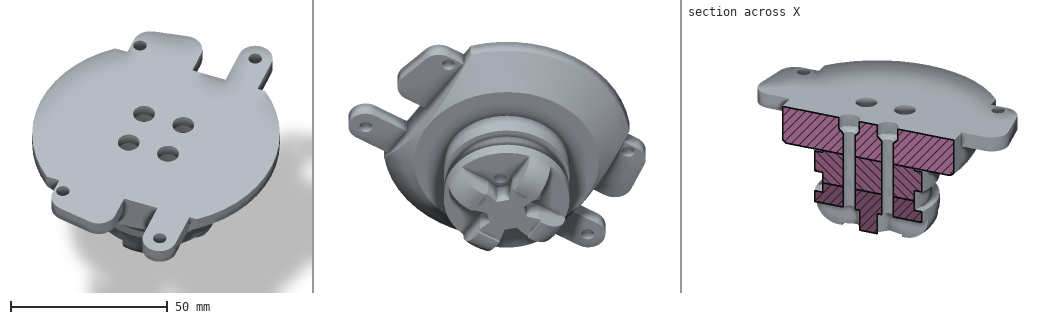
import cadquery as cq
import math


plate_diameter = 79.0
rim_height = 4.4
plate_height = 13.0
plate_base_diameter = 59.0
flat_spacing = 60.05

ear_thickness = 5.0
ear_hole_diameter = 4.3
lug_x = 17.6
lug_width = 11.0
lug_tip_y = 47.7
lug_hole_y = 42.0
paddle_left = -21.4
paddle_right = 0.8
paddle_left_y = 40.5
paddle_right_y = 44.6
paddle_corner_radius = 5.7
paddle_hole_x = -18.7
paddle_hole_y = 34.0

screw_spacing = 13.4
screw_hole_diameter = 4.0
screw_head_diameter = 7.0
screw_head_depth = 4.0
countersink_height = (screw_head_diameter - screw_hole_diameter) / 2

stack_diameter = 40.0
neck_diameter = 35.0
collar_rim_top = -13.5
collar_rim_bottom = -20.8
stack_split = -24.5
flange_top = -27.6
flange_bottom = -31.6

foot_bottom = -39.6
web_bottom = -38.7
leg_width = 7.8
leg_inner_radius = 10.5
arm_root_radius = 9.6
hub_corner_far = 5.6
arm_taper_angle = 15.0


def cylinder(diameter, top, bottom):
    """Round solid on the Z axis between two heights."""
    return cq.Workplane("XY").workplane(offset=bottom).circle(diameter / 2).extrude(top - bottom)


def screw_holes(top, bottom):
    """Four plain screw shanks between two heights."""
    return (
        cq.Workplane("XY")
        .workplane(offset=bottom)
        .rect(screw_spacing, screw_spacing, forConstruction=True)
        .vertices()
        .circle(screw_hole_diameter / 2)
        .extrude(top - bottom)
    )


def screw_heads():
    """Four head recesses, each a round bore ending in a cone down to the shank."""
    head_radius = screw_head_diameter / 2
    shank_radius = screw_hole_diameter / 2
    cone_bottom = -screw_head_depth - countersink_height
    profile = [
        (0, 0),
        (head_radius, 0),
        (head_radius, -screw_head_depth),
        (shank_radius, cone_bottom),
        (0, cone_bottom),
    ]
    head = cq.Workplane("XZ").polyline(profile).close().revolve(360, (0, 0, 0), (0, 1, 0))
    corners = cq.Workplane("XY").rect(screw_spacing, screw_spacing, forConstruction=True).vertices()
    return corners.eachpoint(lambda place: head.val().located(place), combine=True)


def make_lug():
    """Straight ear with a round tip and a hole, on the +Y side."""
    tip_radius = lug_width / 2
    straight_length = lug_tip_y - tip_radius
    bar = cq.Workplane("XY").center(lug_x, straight_length / 2).rect(lug_width, straight_length)
    tip = cq.Workplane("XY").center(lug_x, straight_length).circle(tip_radius)
    hole = cq.Workplane("XY").center(lug_x, lug_hole_y).circle(ear_hole_diameter / 2)
    lug = bar.extrude(-ear_thickness).union(tip.extrude(-ear_thickness))
    return lug.cut(hole.extrude(-ear_thickness))


def make_paddle():
    """Wide ear with a sloping end, rounded corners and a hole, on the +Y side."""
    outline = [
        (paddle_left, 0),
        (paddle_right, 0),
        (paddle_right, paddle_right_y),
        (paddle_left, paddle_left_y),
    ]
    paddle = cq.Workplane("XY").polyline(outline).close().extrude(-ear_thickness)
    paddle = paddle.faces(">Y").edges("|Z").fillet(paddle_corner_radius)
    hole = cq.Workplane("XY").center(paddle_hole_x, paddle_hole_y).circle(ear_hole_diameter / 2)
    return paddle.cut(hole.extrude(-ear_thickness))


def make_plate():
    """Disc with flats, four ears and the countersunk screw holes."""
    profile = [
        (0, 0),
        (plate_diameter / 2, 0),
        (plate_diameter / 2, -rim_height),
        (plate_base_diameter / 2, -plate_height),
        (0, -plate_height),
    ]
    disc = cq.Workplane("XZ").polyline(profile).close().revolve(360, (0, 0, 0), (0, 1, 0))
    flats = cq.Workplane("XY").rect(plate_diameter, flat_spacing).extrude(-plate_height)
    plate = disc.intersect(flats)
    for ear in (make_lug(), make_paddle()):
        plate = plate.union(ear).union(ear.mirror("XZ"))
    return plate.cut(screw_holes(0, -plate_height)).cut(screw_heads())


def make_collar():
    """Upper part of the stack: a rim between two necks."""
    neck = cylinder(neck_diameter, -plate_height, stack_split)
    rim = cylinder(stack_diameter, collar_rim_top, collar_rim_bottom)
    return neck.union(rim).cut(screw_holes(-plate_height, stack_split))


def web_outline():
    """Cross outline: arms that narrow toward an eight-cornered hub."""
    half_leg = leg_width / 2
    taper = (arm_root_radius - hub_corner_far) * math.tan(math.radians(arm_taper_angle))
    hub_corner_near = half_leg - taper
    stack_radius = stack_diameter / 2
    arm = [
        (hub_corner_far, -hub_corner_near),
        (arm_root_radius, -half_leg),
        (stack_radius, -half_leg),
        (stack_radius, half_leg),
        (arm_root_radius, half_leg),
        (hub_corner_far, hub_corner_near),
    ]
    points = []
    for quarter in range(4):
        for x, y in arm:
            for turn in range(quarter):
                x, y = -y, x
            points.append((x, y))
    return points


def rounded_envelope():
    """Round solid below the flange whose side curves in a quarter circle to the bottom."""
    outer_radius = stack_diameter / 2
    leg_height = flange_bottom - foot_bottom
    arc_center_radius = outer_radius - leg_height
    arc_middle = leg_height * math.sqrt(0.5)
    return (
        cq.Workplane("XZ")
        .moveTo(0, flange_bottom)
        .lineTo(outer_radius, flange_bottom)
        .threePointArc(
            (arc_center_radius + arc_middle, flange_bottom - arc_middle),
            (arc_center_radius, foot_bottom),
        )
        .lineTo(0, foot_bottom)
        .close()
        .revolve(360, (0, 0, 0), (0, 1, 0))
    )


def make_foot():
    """Lower part of the stack: neck, flange, and four rounded legs joined by a web."""
    leg_height = flange_bottom - foot_bottom
    cross = cq.Workplane("XY").workplane(offset=foot_bottom).polyline(web_outline()).close()
    recess = (
        cq.Workplane("XY")
        .workplane(offset=foot_bottom)
        .rect(2 * leg_inner_radius, 2 * leg_inner_radius)
        .extrude(web_bottom - foot_bottom)
    )
    legs = cross.extrude(leg_height).intersect(rounded_envelope()).cut(recess)
    neck = cylinder(neck_diameter, stack_split, flange_top)
    flange = cylinder(stack_diameter, flange_top, flange_bottom)
    foot = neck.union(flange).union(legs)
    return foot.cut(screw_holes(stack_split, foot_bottom))


plate = make_plate().solids()
collar = make_collar().solids()
foot = make_foot().solids()

result = cq.Compound.makeCompound([plate.val(), collar.val(), foot.val()])